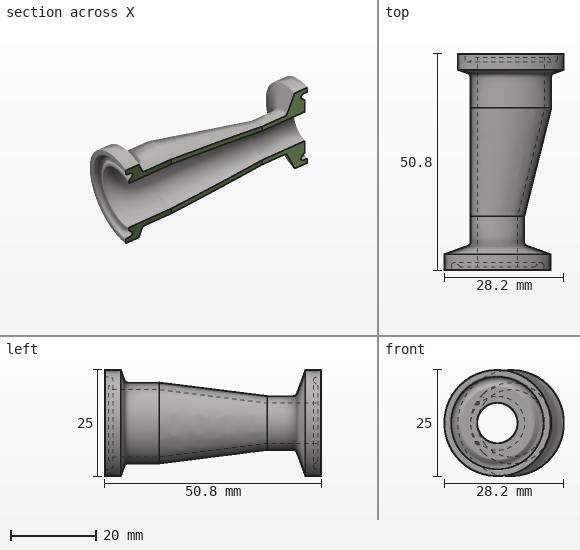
import cadquery as cq
import math

total_length = 50.8
ferrule_length = 12.7
small_tube_radius = 12.7 / 2
large_tube_radius = 19.05 / 2
wall = 1.65
axis_offset = large_tube_radius - small_tube_radius
y_front = -total_length / 2
y_back = total_length / 2

flange_radius = 12.5
rim_width = 3.7
clamp_angle = math.radians(20)
neck_fillet = 0.75
bore_edge_fillet = 0.2
edge_tolerance = 0.05

face_recess = 0.75
groove_inner_radius = 8.45
groove_outer_radius = 11.4
inner_lip_fillet = 0.65
outer_lip_fillet = 0.5
groove_bottom_fillet = 0.75
inner_wall_angle = math.radians(45)


def groove_section():
    """Half-section (radius, depth) of the material removed from the front of the flange."""
    sin_wall = math.sin(inner_wall_angle)
    cos_wall = math.cos(inner_wall_angle)

    lip_centre_depth = face_recess + inner_lip_fillet
    lip_end_radius = groove_inner_radius + inner_lip_fillet * cos_wall
    lip_end_depth = lip_centre_depth - inner_lip_fillet * sin_wall
    lip_mid_angle = (math.pi / 2 + inner_wall_angle) / 2
    lip_mid_radius = groove_inner_radius + inner_lip_fillet * math.cos(lip_mid_angle)
    lip_mid_depth = lip_centre_depth - inner_lip_fillet * math.sin(lip_mid_angle)

    outer_wall_radius = groove_outer_radius - outer_lip_fillet
    bottom_centre_radius = outer_wall_radius - groove_bottom_fillet
    slope_end_radius = bottom_centre_radius - groove_bottom_fillet * cos_wall
    slope_end_depth = lip_end_depth + (slope_end_radius - lip_end_radius) / math.tan(inner_wall_angle)
    bottom_centre_depth = slope_end_depth - groove_bottom_fillet * sin_wall
    bottom_depth = bottom_centre_depth + groove_bottom_fillet

    lip_mid_offset = outer_lip_fillet * (1 - math.sqrt(0.5))

    return (
        cq.Workplane("XY")
        .moveTo(0, 0)
        .lineTo(0, face_recess)
        .lineTo(groove_inner_radius, face_recess)
        .threePointArc((lip_mid_radius, lip_mid_depth), (lip_end_radius, lip_end_depth))
        .lineTo(slope_end_radius, slope_end_depth)
        .threePointArc((bottom_centre_radius, bottom_depth), (outer_wall_radius, bottom_centre_depth))
        .lineTo(outer_wall_radius, outer_lip_fillet)
        .threePointArc(
            (outer_wall_radius + lip_mid_offset, lip_mid_offset),
            (groove_outer_radius, 0),
        )
        .close()
    )


def revolve_about_y(section):
    return section.revolve(360, (0, 0, 0), (0, 1, 0))


def edges_at_height(body, height, radius):
    """Circular edges no larger than the given radius, lying in the plane Y = height."""
    reach = radius + edge_tolerance
    return body.edges(
        cq.selectors.BoxSelector(
            (-reach, height - edge_tolerance, -reach),
            (reach, height + edge_tolerance, reach),
            boundingbox=True,
        )
    )


def make_ferrule(tube_radius):
    """Ferrule with its sealing face at Y = 0 and its tube pointing along +Y."""
    bore_radius = tube_radius - wall
    neck_y = rim_width + (flange_radius - tube_radius) * math.tan(clamp_angle)
    body = revolve_about_y(
        cq.Workplane("XY").polyline([
            (bore_radius, 0),
            (flange_radius, 0),
            (flange_radius, rim_width),
            (tube_radius, neck_y),
            (tube_radius, ferrule_length),
            (bore_radius, ferrule_length),
        ]).close()
    )
    body = edges_at_height(body, neck_y, tube_radius).fillet(neck_fillet)
    body = body.cut(revolve_about_y(groove_section()))
    return edges_at_height(body, face_recess, bore_radius).fillet(bore_edge_fillet)


def make_eccentric_cone(small_radius, large_radius):
    """Solid loft between the two tube ends, each circle centred on its own tube axis."""
    start = cq.Wire.makeCircle(
        small_radius, cq.Vector(0, y_front + ferrule_length, 0), cq.Vector(0, 1, 0)
    )
    end = cq.Wire.makeCircle(
        large_radius, cq.Vector(axis_offset, y_back - ferrule_length, 0), cq.Vector(0, 1, 0)
    )
    return cq.Workplane(cq.Solid.makeLoft([start, end], True))


def make_reducer():
    outside = make_eccentric_cone(small_tube_radius, large_tube_radius)
    inside = make_eccentric_cone(small_tube_radius - wall, large_tube_radius - wall)
    return outside.cut(inside)


small_ferrule = make_ferrule(small_tube_radius).translate((0, y_front, 0))
large_ferrule = (
    make_ferrule(large_tube_radius)
    .rotate((0, 0, 0), (0, 0, 1), 180)
    .translate((axis_offset, y_back, 0))
)
reducer = make_reducer()

result = cq.Compound.makeCompound([small_ferrule.val(), reducer.val(), large_ferrule.val()])